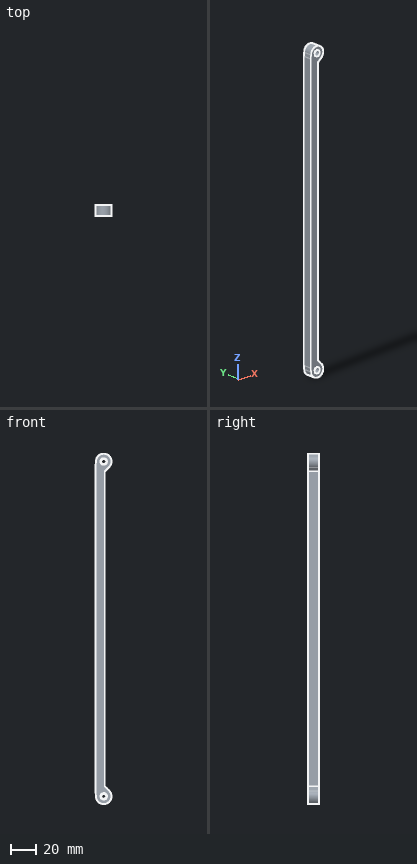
import cadquery as cq
import math

length = 279.99
width = 12.95
thickness = 8.95

bar_width = 7.6
bar_left = -width / 2
bar_right = bar_left + bar_width

eye_radius = 6.3
eye_x = width / 2 - eye_radius
eye_z = length / 2 - eye_radius
eye_left = eye_x - eye_radius

flare_end_from_tip = 9.6
flare_end_z = length / 2 - flare_end_from_tip

touch_offset = eye_radius * math.sqrt(0.5)
touch_x = eye_x + touch_offset
touch_z = eye_z - touch_offset
shoulder_foot_z = touch_z - (touch_x - bar_right)

upper_hole_diameter = 4.0
lower_hole_diameter = 3.8
counterbore_diameter = 5.31
counterbore_depth = 6.0


def make_body():
    outline = (
        cq.Workplane("XZ", origin=(0, thickness / 2, 0))
        .moveTo(bar_left, -flare_end_z)
        .lineTo(bar_left, flare_end_z)
        .lineTo(eye_left, eye_z)
        .threePointArc((touch_x, eye_z + touch_offset), (touch_x, touch_z))
        .lineTo(bar_right, shoulder_foot_z)
        .lineTo(bar_right, -shoulder_foot_z)
        .lineTo(touch_x, -touch_z)
        .threePointArc((touch_x, -eye_z - touch_offset), (eye_left, -eye_z))
        .close()
    )
    return outline.extrude(thickness)


def make_hole_tool(through_diameter, center_z):
    through_hole = (
        cq.Workplane("XZ", origin=(eye_x, thickness / 2, center_z))
        .circle(through_diameter / 2)
        .extrude(thickness)
    )
    counterbore = (
        cq.Workplane("XZ", origin=(eye_x, -thickness / 2, center_z))
        .circle(counterbore_diameter / 2)
        .extrude(-counterbore_depth)
    )
    return through_hole.union(counterbore)


result = (
    make_body()
    .cut(make_hole_tool(upper_hole_diameter, eye_z))
    .cut(make_hole_tool(lower_hole_diameter, -eye_z))
)